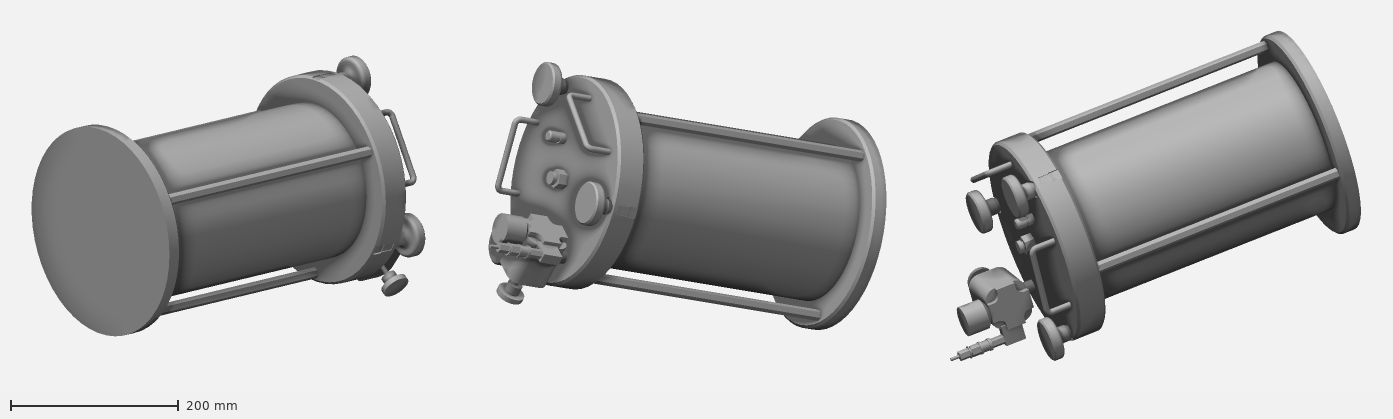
import cadquery as cq
import math

total_length = 500.5
flange_diameter = 254.0
flange_chamfer = 3.0
base_thickness = 18.0
lid_bottom = 335.0
lid_top = 372.0
shell_diameter = 189.5

pitch_radius = 115.0
rod_angles = (30, 150, 270)
rod_diameter = 13.5
rod_twist = 18
knob_angles = (90, 210, 330)
knob_diameter = 52.5
knob_face_diameter = 48.5
knob_foot_diameter = 36.0
knob_foot_radius = 7.5
knob_neck_diameter = 20.5
knob_neck_top = 382.5
knob_bottom = 388.0
knob_edge_radius = 4.5
knob_top = 402.0
knob_edge_chamfer = 2.0
knob_neck_bottom = 375.5
knob_seat_diameter = 14.5
seat_recess_diameter = 22.0
seat_recess_depth = 3.0

slot_width = 11.0
slot_front_width = 13.5
slot_depth = 1.0
slot_front_depth = 2.0
slot_step = 348.5
slot_top = 363.5

handle_angles = (30, 150)
handle_radius = 95.0
handle_span = 89.0
handle_bar_diameter = 7.5
handle_axis_top = 402.0
handle_bend_radius = 6.5

plug_hex_diameter = 23.5
plug_twist = 14
plug_hex_top = 384.5
plug_neck_top = 386.5
plug_neck_diameter = 11.0
plug_cap_diameter = 16.0
plug_top = 391.5
pin_z = 51.5
pin_diameter = 13.5
pin_groove_diameter = 11.0
pin_groove_bottom = 379.5
pin_groove_top = 383.0
pin_top = 394.5
pin_chamfer = 1.5

regulator_y = 414.0
regulator_z = -95.5
regulator_tilt = 37.5
stem_diameter = 16.0
body_start = -36.0
body_end = 31.5
body_size = 53.0
flat_width = 23.5
notch_depth = 7.5
notch_radius = 8.0
gauge_x = -25.5
gauge_diameter = 37.0
gauge_foot_diameter = 20.5
gauge_bottom = 440.5
gauge_shoulder = 446.5
gauge_top = 473.0
shaft_diameter = 6.5
hub_diameter = 18.5
hub_start = 50.5
dial_diameter = 33.5
dial_z = 2.5
dial_start = 62.5
dial_end = 69.0
outlet_x = -25.0
outlet_z = -39.5
outlet_length = 12.5
outlet_width = 15.5
outlet_overlap = 10.0
outlet_bottom = 406.0
outlet_top = 431.5
connector_twist = -19.5


def cylinder(diameter, y_start, y_end, x=0, z=0):
    """Cylinder along Y between two heights."""
    base = cq.Workplane("XZ", origin=(x, y_start, z))
    return base.circle(diameter / 2).extrude(y_start - y_end)


def hexagon(diameter, y_start, y_end, x=0, z=0, twist=0):
    """Hexagonal bar along Y, sized across its corners."""
    bar = cq.Workplane("XZ").polygon(6, diameter).extrude(y_start - y_end)
    return bar.rotate((0, 0, 0), (0, 1, 0), twist).translate((x, y_start, z))


def on_circle(angle, radius):
    """X and Z of a point on a circle about the vessel axis."""
    return radius * math.cos(math.radians(angle)), radius * math.sin(math.radians(angle))


def around_axis(shape, angle):
    """Turn a shape about the vessel axis, from +X towards +Z."""
    return shape.rotate((0, 0, 0), (0, 1, 0), -angle)


def join(shapes):
    joined = shapes[0]
    for shape in shapes[1:]:
        joined = joined.union(shape)
    return joined


def make_vessel():
    base = cylinder(flange_diameter, 0, base_thickness).faces(">Y").chamfer(flange_chamfer)
    lid = cylinder(flange_diameter, lid_bottom, lid_top).faces("<Y or >Y").chamfer(flange_chamfer)
    shell = cylinder(shell_diameter, base_thickness, lid_bottom)
    for angle in knob_angles:
        x, z = on_circle(angle, pitch_radius)
        lid = lid.cut(cylinder(seat_recess_diameter, lid_top - seat_recess_depth, lid_top, x, z))
        lid = lid.cut(around_axis(make_rim_slot(), angle))
    return join([base, shell, lid])


def make_rim_slot():
    """Two flat shallow steps in the lid rim, at angle zero."""
    rim = flange_diameter / 2

    def step(width, depth, y_start, y_end):
        box = cq.Workplane("XY").box(2 * depth, y_end - y_start, width)
        return box.translate((rim, (y_start + y_end) / 2, 0))

    front = step(slot_front_width, slot_front_depth, lid_bottom, slot_step)
    return front.union(step(slot_width, slot_depth, slot_step, slot_top))


def make_rod(angle):
    x, z = on_circle(angle, pitch_radius)
    return hexagon(rod_diameter, base_thickness, lid_bottom, x, z, rod_twist)


def make_knob(angle):
    neck_radius = knob_neck_diameter / 2
    foot_radius = knob_foot_diameter / 2
    outer_radius = knob_diameter / 2
    seat_y = lid_top - seat_recess_depth
    outline = (
        cq.Workplane("XY")
        .moveTo(0, seat_y)
        .lineTo(knob_seat_diameter / 2, seat_y)
        .lineTo(neck_radius, knob_neck_bottom)
        .lineTo(neck_radius, knob_neck_top)
        .radiusArc((foot_radius, knob_bottom), knob_foot_radius)
        .lineTo(outer_radius - knob_edge_radius, knob_bottom)
        .radiusArc((outer_radius, knob_bottom + knob_edge_radius), -knob_edge_radius)
        .lineTo(outer_radius, knob_top - knob_edge_chamfer)
        .lineTo(knob_face_diameter / 2, knob_top)
        .lineTo(0, knob_top)
        .close()
    )
    x, z = on_circle(angle, pitch_radius)
    return outline.revolve(360, (0, 0, 0), (0, 1, 0)).translate((x, 0, z))


def make_handle(angle):
    """Bent bar with two legs on the lid, built at angle zero and then turned."""
    half_span = handle_span / 2
    path = (
        cq.Workplane("YZ", origin=(handle_radius, 0, 0))
        .moveTo(lid_top, -half_span)
        .lineTo(handle_axis_top - handle_bend_radius, -half_span)
        .tangentArcPoint((handle_bend_radius, handle_bend_radius))
        .lineTo(handle_axis_top, half_span - handle_bend_radius)
        .tangentArcPoint((-handle_bend_radius, handle_bend_radius))
        .lineTo(lid_top, half_span)
    )
    profile = cq.Workplane("XZ", origin=(handle_radius, lid_top, -half_span))
    bar = profile.circle(handle_bar_diameter / 2).sweep(path)
    return around_axis(bar, angle)


def make_lid_fittings():
    plug = join([
        hexagon(plug_hex_diameter, lid_top, plug_hex_top, twist=plug_twist),
        cylinder(plug_neck_diameter, plug_hex_top, plug_neck_top),
        cylinder(plug_cap_diameter, plug_neck_top, plug_top),
    ])
    pin = join([
        cylinder(pin_diameter, lid_top, pin_groove_bottom, z=pin_z),
        cylinder(pin_groove_diameter, pin_groove_bottom, pin_groove_top, z=pin_z),
        cylinder(pin_diameter, pin_groove_top, pin_top, z=pin_z).faces(">Y").chamfer(pin_chamfer),
    ])
    return [plug, pin]


def along_regulator(diameter, start, end, z=0):
    """Cylinder parallel to the regulator axis."""
    return cq.Workplane("YZ", origin=(start, regulator_y, z)).circle(diameter / 2).extrude(end - start)


def make_regulator_body():
    """Square bar with rounded edges and a cross-shaped front face."""
    edge_radius = (body_size - flat_width) / 2
    front = cq.Workplane("YZ", origin=(body_start, regulator_y, 0))
    body = front.rect(body_size, body_size).extrude(body_end - body_start).edges("|X").fillet(edge_radius)
    notch_offset = (flat_width + body_size) / 2
    notches = front.rect(2 * notch_offset, 2 * notch_offset, forConstruction=True).vertices()
    notches = notches.rect(body_size, body_size).extrude(notch_depth)
    return body.cut(notches.edges("|X").fillet(notch_radius))


def make_gauge():
    cone = (
        cq.Workplane("XZ", origin=(gauge_x, gauge_bottom, 0))
        .circle(gauge_foot_diameter / 2)
        .workplane(offset=gauge_bottom - gauge_shoulder)
        .circle(gauge_diameter / 2)
        .loft()
    )
    return [
        cylinder(gauge_foot_diameter, regulator_y, gauge_bottom, gauge_x),
        cone,
        cylinder(gauge_diameter, gauge_shoulder, gauge_top, gauge_x),
    ]


connector_sections = [
    (hexagon, 12.0, 448.0),
    (cylinder, 15.5, 451.5),
    (cylinder, 13.5, 460.5),
    (cylinder, 15.5, 463.0),
    (hexagon, 14.5, 474.0),
    (cylinder, 10.5, 475.5),
    (cylinder, 15.5, 477.0),
    (hexagon, 12.5, 489.5),
    (cylinder, 4.2, total_length),
]


def make_outlet():
    """Side block with a stepped hose connector standing on it."""
    block = cq.Workplane("XY").box(outlet_length, outlet_top - outlet_bottom, outlet_width + outlet_overlap)
    block = block.translate((outlet_x, (outlet_bottom + outlet_top) / 2, outlet_z + outlet_overlap / 2))
    parts = [block]
    start = outlet_top
    for shape, diameter, end in connector_sections:
        section = shape(diameter, start, end)
        section = section.rotate((0, 0, 0), (0, 1, 0), connector_twist)
        parts.append(section.translate((outlet_x, 0, outlet_z)))
        start = end
    return parts


def make_regulator():
    dial = [
        along_regulator(shaft_diameter, body_end, hub_start, dial_z),
        along_regulator(hub_diameter, hub_start, dial_start, dial_z),
        along_regulator(dial_diameter, dial_start, dial_end, dial_z),
    ]
    stem = cylinder(stem_diameter, lid_top, regulator_y)
    regulator = join([make_regulator_body(), stem] + dial + make_gauge() + make_outlet())
    return around_axis(regulator, -regulator_tilt).translate((0, 0, regulator_z))


parts = [make_vessel(), make_regulator()]
parts += [make_rod(angle) for angle in rod_angles]
parts += [make_knob(angle) for angle in knob_angles]
parts += [make_handle(angle) for angle in handle_angles]
parts += make_lid_fittings()
result = join(parts)